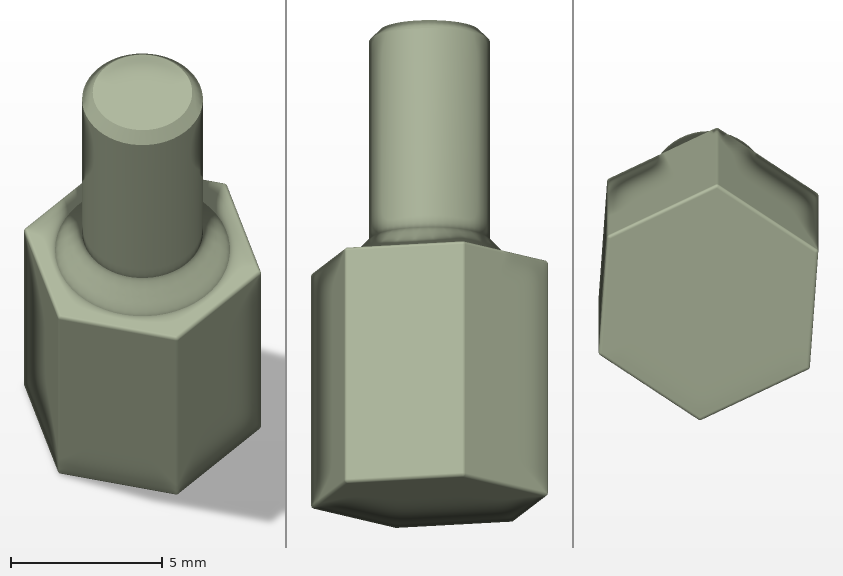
import cadquery as cq
import math

across_flats = 7.0
across_corners = across_flats / math.cos(math.radians(30))
body_height = 8.0
edge_radius = 0.11

total_height = 16.0
stud_radius = 2.0
tip_chamfer = 0.35
foot_height = 0.9
foot_radius = stud_radius + foot_height


def hex_body():
    """Upright hexagonal prism with corners along X and every edge rounded."""
    prism = cq.Workplane("XY").polygon(6, across_corners).extrude(body_height)
    return prism.edges().fillet(edge_radius)


def stud():
    """Revolved stud, sunk into the body down to its base plane."""
    profile = (
        cq.Workplane("XZ")
        .lineTo(foot_radius, 0)
        .lineTo(foot_radius, body_height)
        .lineTo(stud_radius, body_height + foot_height)
        .lineTo(stud_radius, total_height - tip_chamfer)
        .lineTo(stud_radius - tip_chamfer, total_height)
        .lineTo(0, total_height)
        .close()
    )
    return profile.revolve(360, (0, 0, 0), (0, 1, 0))


result = hex_body().union(stud())